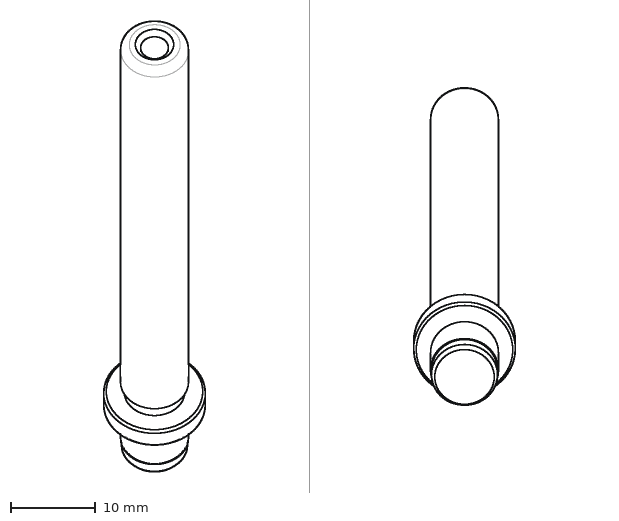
import cadquery as cq
import math

length = 78.0
shaft_diameter = 8.0
shaft_radius = shaft_diameter / 2
collar_radius = 6.0
collar_bottom = 8.1
collar_height = 2.9
collar_chamfer = 0.3

pilot_radius = 3.9
pilot_top = 2.1
pilot_chamfer_height = 0.6
pilot_chamfer_width = 0.4
land_top = 7.2

groove_radius = 3.6
lower_groove_radius = 3.4
lower_groove_taper_height = 0.55
upper_groove_top = 12.9
upper_groove_taper_height = 0.2

top_round = 1.0
bore_radius = 1.6
bore_depth = 10.0
countersink_radius = 2.3
drill_point_angle = 118.0

collar_top = collar_bottom + collar_height


def revolve_around_z(profile):
    """Turn a closed radius-height profile into a solid about the Z axis."""
    return profile.close().revolve(360, (0, 0, 0), (0, 1, 0))


def make_body():
    """Solid pin with collar, relief grooves and finished ends."""
    round_start = length - top_round
    round_diagonal = top_round * math.sqrt(0.5)
    profile = (
        cq.Workplane("XZ")
        .lineTo(pilot_radius - pilot_chamfer_width, 0)
        .lineTo(pilot_radius, pilot_chamfer_height)
        .lineTo(pilot_radius, pilot_top)
        .lineTo(shaft_radius, pilot_top)
        .lineTo(shaft_radius, land_top)
        .lineTo(lower_groove_radius, land_top + lower_groove_taper_height)
        .lineTo(lower_groove_radius, collar_bottom)
        .lineTo(collar_radius - collar_chamfer, collar_bottom)
        .lineTo(collar_radius, collar_bottom + collar_chamfer)
        .lineTo(collar_radius, collar_top - collar_chamfer)
        .lineTo(collar_radius - collar_chamfer, collar_top)
        .lineTo(groove_radius, collar_top)
        .lineTo(groove_radius, upper_groove_top - upper_groove_taper_height)
        .lineTo(shaft_radius, upper_groove_top)
        .lineTo(shaft_radius, round_start)
        .threePointArc(
            (shaft_radius - top_round + round_diagonal, round_start + round_diagonal),
            (shaft_radius - top_round, length),
        )
        .lineTo(0, length)
    )
    return revolve_around_z(profile)


def make_bore():
    """Blind drilled hole in the top end with a 45 degree countersink."""
    bore_bottom = length - bore_depth
    point_height = bore_radius / math.tan(math.radians(drill_point_angle / 2))
    countersink_depth = countersink_radius - bore_radius
    profile = (
        cq.Workplane("XZ")
        .moveTo(0, bore_bottom - point_height)
        .lineTo(bore_radius, bore_bottom)
        .lineTo(bore_radius, length - countersink_depth)
        .lineTo(countersink_radius, length)
        .lineTo(0, length)
    )
    return revolve_around_z(profile)


result = make_body().cut(make_bore())